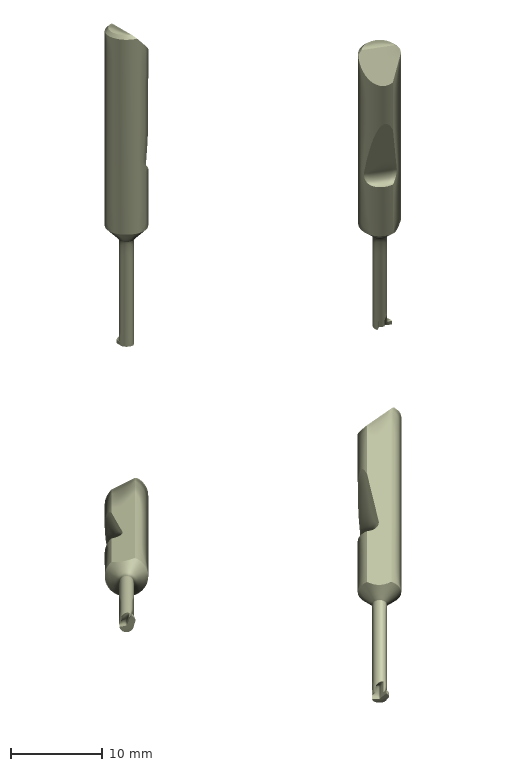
import cadquery as cq
import math

LENGTH = 38.1
SHANK_RADIUS = 2.38
NECK_RADIUS = 0.8
NECK_TOP = 12.73
TOP_CHAMFER = 0.4

TOP_BEVEL_REACH = 0.65
FLAT_ANGLE = 146.5
NOTCH_TOP = 29.8
NOTCH_BOTTOM = 21.1
NOTCH_RADIUS = 1.15
NOTCH_SLOPE = 9.5

LIP_REACH = 1.37
LIP_TOP = 0.5
LIP_CORNER_X = -0.88
LIP_CORNER_Y = -0.7
LIP_ARC_BULGE = 0.08
LIP_BLEND_X = 0.1
RELIEF_X = 3.0
RELIEF_Y = 3.0

POCKET_TOP = 1.9
POCKET_WIDTH = 0.72

CUT_SIZE = 4 * SHANK_RADIUS


def turned_body():
    """Shank, 45 degree cone and neck as one revolved outline."""
    cone_top = NECK_TOP + SHANK_RADIUS - NECK_RADIUS
    return (
        cq.Workplane("XZ")
        .lineTo(NECK_RADIUS, 0)
        .lineTo(NECK_RADIUS, NECK_TOP)
        .lineTo(SHANK_RADIUS, cone_top)
        .lineTo(SHANK_RADIUS, LENGTH - TOP_CHAMFER)
        .lineTo(SHANK_RADIUS - TOP_CHAMFER, LENGTH)
        .lineTo(0, LENGTH)
        .close()
        .revolve(360, (0, 0), (0, 1))
    )


def top_bevel():
    """Wedge that slopes the shank end down toward +Y."""
    return (
        cq.Workplane("YZ")
        .moveTo(-TOP_BEVEL_REACH, LENGTH)
        .lineTo(CUT_SIZE - TOP_BEVEL_REACH, LENGTH - CUT_SIZE)
        .lineTo(CUT_SIZE - TOP_BEVEL_REACH, LENGTH)
        .close()
        .extrude(CUT_SIZE / 2, both=True)
    )


def side_flat():
    """Block that leaves a flat whose near edge lies at (-SHANK_RADIUS, 0)."""
    flat_distance = SHANK_RADIUS * math.cos(math.radians(180 - FLAT_ANGLE))
    return (
        cq.Workplane("XY")
        .box(CUT_SIZE, CUT_SIZE, LENGTH, centered=(False, True, False))
        .translate((flat_distance, 0, 0))
        .rotate((0, 0, 0), (0, 0, 1), FLAT_ANGLE)
    )


def clamping_notch():
    """Sloped notch on the +Y side, its arc tangent to slope and floor."""
    slope = math.radians(NOTCH_SLOPE)
    centre_z = NOTCH_BOTTOM + NOTCH_RADIUS
    centre_y = (
        SHANK_RADIUS
        - (NOTCH_TOP - centre_z) * math.tan(slope)
        + NOTCH_RADIUS / math.cos(slope)
    )

    def arc_point(angle):
        return (
            centre_y + NOTCH_RADIUS * math.cos(angle),
            centre_z + NOTCH_RADIUS * math.sin(angle),
        )

    slope_tangent = math.pi - slope
    floor_tangent = 1.5 * math.pi
    return (
        cq.Workplane("YZ")
        .moveTo(SHANK_RADIUS, NOTCH_TOP)
        .lineTo(*arc_point(slope_tangent))
        .threePointArc(arc_point((slope_tangent + floor_tangent) / 2), arc_point(floor_tangent))
        .lineTo(CUT_SIZE, NOTCH_BOTTOM)
        .lineTo(CUT_SIZE, NOTCH_TOP)
        .close()
        .extrude(CUT_SIZE / 2, both=True)
    )


def cutting_lip():
    """Lip reaching toward -X, with its rake face on the XZ plane."""
    arc_middle = (
        (LIP_CORNER_X - LIP_REACH) / 2 - LIP_ARC_BULGE,
        LIP_CORNER_Y / 2 - LIP_ARC_BULGE / 2,
    )
    blend_y = -math.sqrt(NECK_RADIUS**2 - LIP_BLEND_X**2)
    return (
        cq.Workplane("XY")
        .moveTo(-LIP_REACH, 0)
        .threePointArc(arc_middle, (LIP_CORNER_X, LIP_CORNER_Y))
        .lineTo(LIP_BLEND_X, blend_y)
        .lineTo(LIP_BLEND_X, 0)
        .close()
        .extrude(LIP_TOP)
    )


def chip_pocket():
    """Pocket on the +Y side, parallel to the shank flat, with a round run-out."""
    normal = math.radians(FLAT_ANGLE)
    wedge = (
        cq.Workplane("XY")
        .lineTo(CUT_SIZE * math.sin(normal), -CUT_SIZE * math.cos(normal))
        .lineTo(-CUT_SIZE, CUT_SIZE)
        .lineTo(-CUT_SIZE, 0)
        .close()
        .extrude(POCKET_TOP)
    )
    runout_start = POCKET_TOP - POCKET_WIDTH
    diagonal = POCKET_WIDTH * math.sqrt(0.5)
    side_profile = (
        cq.Workplane("YZ")
        .lineTo(0, POCKET_TOP)
        .threePointArc((diagonal, runout_start + diagonal), (POCKET_WIDTH, runout_start))
        .lineTo(POCKET_WIDTH, LIP_TOP)
        .lineTo(CUT_SIZE, LIP_TOP)
        .lineTo(CUT_SIZE, 0)
        .close()
        .extrude(CUT_SIZE, both=True)
    )
    return wedge.intersect(side_profile)


def end_relief():
    """Block below the end face, tilted about the cutting tip."""
    tip = cq.Vector(-LIP_REACH, 0, 0)
    return (
        cq.Workplane("XY")
        .box(CUT_SIZE, CUT_SIZE, CUT_SIZE, centered=(True, True, False))
        .translate((0, 0, -CUT_SIZE))
        .rotate((0, 0, 0), (0, 1, 0), -RELIEF_X)
        .rotate((0, 0, 0), (1, 0, 0), -RELIEF_Y)
        .translate(tip)
    )


shank = turned_body().cut(top_bevel()).cut(side_flat()).cut(clamping_notch())
result = shank.cut(chip_pocket()).union(cutting_lip()).cut(end_relief())